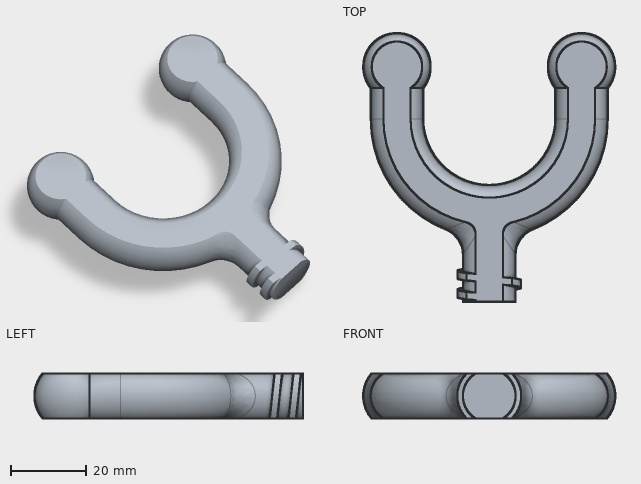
import cadquery as cq

length = 71.5
thickness = 12.0
rod_radius = 7.0
ball_radius = 9.0
arm_offset = 24.5
bend_center_y = 48.6
neck_fillet = 7.0

thread_radius = 8.5
thread_pitch = 5.0
thread_width = 2.0
thread_turns = 1.5
thread_start_y = 1.0
thread_root_overlap = 1.0

ball_center_y = length - ball_radius


def make_bend():
    """Half ring joining the two arms."""
    return (
        cq.Workplane("XZ", origin=(0, bend_center_y, 0))
        .center(-arm_offset, 0)
        .circle(rod_radius)
        .revolve(180, (arm_offset, 0, 0), (arm_offset, 1, 0))
    )


def make_stem():
    """Round stem from the free end to the centre line of the bend."""
    stem_length = bend_center_y - arm_offset
    return cq.Workplane("XZ").circle(rod_radius).extrude(-stem_length)


def make_arm(x):
    """Straight arm ending in a ball."""
    arm = (
        cq.Workplane("XZ", origin=(x, bend_center_y, 0))
        .circle(rod_radius)
        .extrude(bend_center_y - ball_center_y)
    )
    ball = cq.Workplane("XY").sphere(ball_radius).translate((x, ball_center_y, 0))
    return arm.union(ball)


def make_thread():
    """Left-handed rectangular ridge, wound about Z and then laid along Y."""
    root_radius = rod_radius - thread_root_overlap
    helix = cq.Wire.makeHelix(
        thread_pitch, thread_turns * thread_pitch, root_radius, lefthand=True
    )
    ridge = (
        cq.Workplane("XZ")
        .center((root_radius + thread_radius) / 2, 0)
        .rect(thread_radius - root_radius, thread_width)
        .sweep(cq.Workplane(obj=helix), isFrenet=True)
    )
    return (
        ridge.rotate((0, 0, 0), (0, 0, 1), -90)
        .rotate((0, 0, 0), (1, 0, 0), -90)
        .translate((0, thread_start_y, 0))
    )


def flatten(shape):
    """Keep only the material between the two parallel flat faces."""
    slab_width = 2 * (arm_offset + ball_radius)
    slab = cq.Workplane("XY").box(slab_width, length, thickness).translate((0, length / 2, 0))
    return shape.intersect(slab)


neck_reach = 2 * rod_radius
neck_zone = cq.selectors.BoxSelector(
    (-neck_reach, bend_center_y - arm_offset - neck_reach, -thickness / 4),
    (neck_reach, bend_center_y - arm_offset, thickness / 4),
)
body = flatten(make_stem().union(make_bend()))
body = body.edges(neck_zone).fillet(neck_fillet)

for arm_x in (-arm_offset, arm_offset):
    body = body.union(flatten(make_arm(arm_x)))

result = body.union(flatten(make_thread()))